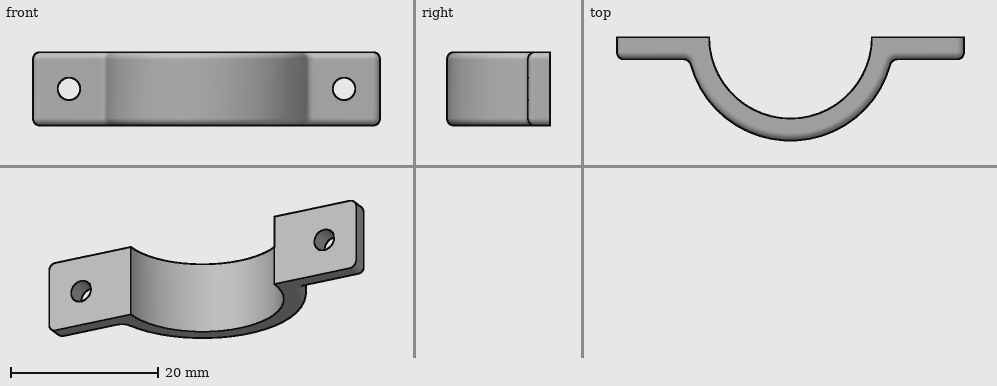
import cadquery as cq

length = 47.25
width = 10.0
outer_radius = 14.07
thickness = 3.0
hole_diameter = 3.0
hole_spacing = 37.4
round_radius = 1.0

inner_radius = outer_radius - thickness


def half_disc(radius):
    """Half cylinder bulging toward -Y, with its flat side on the XZ plane."""
    return (
        cq.Workplane("XY")
        .moveTo(-radius, 0)
        .threePointArc((0, -radius), (radius, 0))
        .close()
        .extrude(width)
    )


def solid_blank():
    """Flange bar joined to the saddle, before the bore is cut."""
    flanges = cq.Workplane("XY").box(length, thickness, width, centered=(True, False, False))
    blank = flanges.translate((0, -thickness, 0)).union(half_disc(outer_radius))

    blank = blank.edges("|Z").edges("not >Y").fillet(round_radius)

    rims = blank.faces("<Z or >Z").edges("not >Y")
    return rims.fillet(round_radius)


def mounting_holes():
    return (
        cq.Workplane("XZ")
        .center(0, width / 2)
        .pushPoints([(-hole_spacing / 2, 0), (hole_spacing / 2, 0)])
        .circle(hole_diameter / 2)
        .extrude(thickness)
    )


result = solid_blank().cut(half_disc(inner_radius)).cut(mounting_holes())